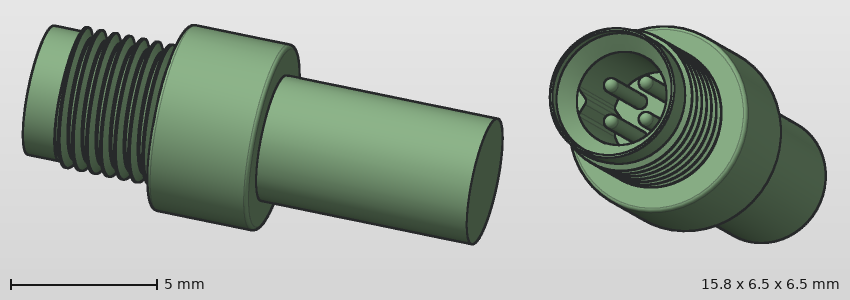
import cadquery as cq
import math

TOTAL_LENGTH = 15.8

COLLAR_FRONT = 4.7
COLLAR_REAR = 8.3
COLLAR_DIAMETER = 6.5
COLLAR_RADIUS = COLLAR_DIAMETER / 2
COLLAR_EDGE_RADIUS = 0.135

CABLE_RADIUS = 2.2

NOSE_LENGTH = 1.12
NOSE_RADIUS = 2.26
ROOT_RADIUS = 2.12

CREST_RADIUS = 2.43
CREST_SPAN = 3.0
PITCHES_IN_SPAN = 6
PITCH = CREST_SPAN / PITCHES_IN_SPAN
CREST_WIDTH = 0.06
FLANK_ANGLE = 30.0
RIDGE_EMBED = 0.05
TOP_CREST_X = 1.22

MOUTH_RADIUS = 2.16
MOUTH_DEPTH = 0.43
LEAD_IN_DEPTH = 1.0
SOCKET_RADIUS = 1.63
SOCKET_DEPTH = COLLAR_FRONT

KEY_TIP_Y = 1.3
KEY_HALF_ANGLE = 55.0
KEY_TIP_RADIUS = 0.2
KEY_ROOT_RADIUS = 0.16

PIN_RADIUS = 0.25
PIN_OFFSET = 0.63
PIN_TIP_X = 1.45
PIN_SEAT_DEPTH = 1.58
PIN_LENGTH = SOCKET_DEPTH + PIN_SEAT_DEPTH - PIN_TIP_X


def cylinder(start, end, radius, y=0.0, z=0.0):
    """Cylinder parallel to X from start to end."""
    return cq.Workplane("YZ", origin=(start, y, z)).circle(radius).extrude(end - start)


def make_thread_ridge():
    """Helical trapezoidal ridge, cut square at the nose and at the collar."""
    base_radius = ROOT_RADIUS - RIDGE_EMBED
    half_crest = CREST_WIDTH / 2
    half_base = half_crest + (CREST_RADIUS - base_radius) * math.tan(math.radians(FLANK_ANGLE))
    helix_start = TOP_CREST_X - PITCH
    helix_length = COLLAR_FRONT + PITCH - helix_start
    helix = cq.Wire.makeHelix(PITCH, helix_length, base_radius)
    ridge = (
        cq.Workplane("XZ")
        .moveTo(base_radius, -half_base)
        .lineTo(CREST_RADIUS, -half_crest)
        .lineTo(CREST_RADIUS, half_crest)
        .lineTo(base_radius, half_base)
        .close()
        .sweep(cq.Workplane(obj=helix), isFrenet=True)
    )
    ridge = ridge.rotate((0, 0, 0), (0, 1, 0), 90).rotate((0, 0, 0), (1, 0, 0), 180)
    ridge = ridge.translate((helix_start, 0, 0))
    return ridge.intersect(cylinder(NOSE_LENGTH, COLLAR_FRONT, COLLAR_RADIUS))


def make_socket_mouth():
    """Short straight mouth and tapered lead-in, as a solid to be cut away."""
    return (
        cq.Workplane("XY")
        .moveTo(0, 0)
        .lineTo(0, MOUTH_RADIUS)
        .lineTo(MOUTH_DEPTH, MOUTH_RADIUS)
        .lineTo(LEAD_IN_DEPTH, SOCKET_RADIUS)
        .lineTo(LEAD_IN_DEPTH, 0)
        .close()
        .revolve(360, (0, 0, 0), (1, 0, 0))
    )


def make_keyed_bore():
    """Straight bore with the key left standing, as a solid to be cut away."""
    half_angle = math.radians(KEY_HALF_ANGLE)
    apex_y = KEY_TIP_Y - KEY_TIP_RADIUS * (1 / math.sin(half_angle) - 1)
    wedge_height = SOCKET_RADIUS
    wedge_half_width = wedge_height * math.tan(half_angle)
    wedge = (
        cq.Workplane("YZ", origin=(LEAD_IN_DEPTH, 0, 0))
        .moveTo(apex_y, 0)
        .lineTo(apex_y + wedge_height, wedge_half_width)
        .lineTo(apex_y + wedge_height, -wedge_half_width)
        .close()
        .extrude(SOCKET_DEPTH - LEAD_IN_DEPTH)
    )
    bore = cylinder(LEAD_IN_DEPTH, SOCKET_DEPTH, SOCKET_RADIUS).cut(wedge)
    bore = bore.edges("|X").edges("<Y").fillet(KEY_TIP_RADIUS)
    return bore.edges("|X").edges(">Y").fillet(KEY_ROOT_RADIUS)


def make_shell(pins):
    shell = cylinder(0, NOSE_LENGTH, NOSE_RADIUS)
    shell = shell.union(cylinder(NOSE_LENGTH, COLLAR_REAR, ROOT_RADIUS))
    shell = shell.union(make_thread_ridge())
    shell = shell.cut(make_socket_mouth()).cut(make_keyed_bore())
    for pin in pins:
        shell = shell.cut(pin)
    return shell


def make_collar():
    collar = cylinder(COLLAR_FRONT, COLLAR_REAR, COLLAR_RADIUS).edges().fillet(COLLAR_EDGE_RADIUS)
    return collar.cut(cylinder(COLLAR_FRONT, COLLAR_REAR, ROOT_RADIUS))


def make_cable():
    return cylinder(COLLAR_REAR, TOTAL_LENGTH, CABLE_RADIUS)


def make_pin(y, z):
    """Round contact pin with a hemispherical tip."""
    shank = cylinder(PIN_TIP_X + PIN_RADIUS, PIN_TIP_X + PIN_LENGTH, PIN_RADIUS, y, z)
    tip = cq.Workplane("XY", origin=(PIN_TIP_X + PIN_RADIUS, y, z)).sphere(PIN_RADIUS)
    return shank.union(tip)


pins = []
for y_side in (-1, 1):
    for z_side in (-1, 1):
        pins.append(make_pin(y_side * PIN_OFFSET, z_side * PIN_OFFSET))

shell = make_shell(pins)
collar = make_collar()
cable = make_cable()

result = cq.Compound.makeCompound(
    [shell.val(), collar.val(), cable.val(), *[pin.val() for pin in pins]]
)